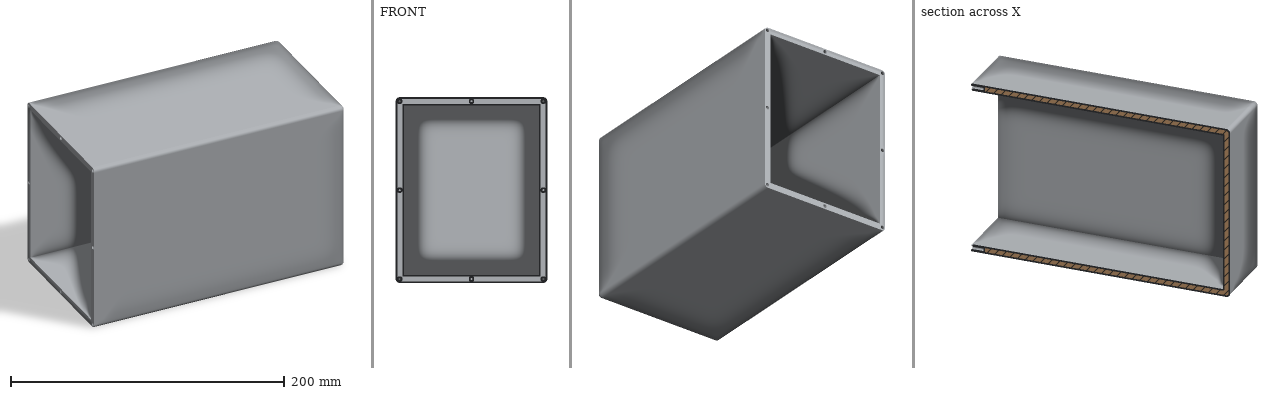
import cadquery as cq

width = 110.0
length = 205.0
height = 135.0
wall = 5.0
edge_radius = 3.0

hole_diameter = 2.9
hole_depth = 10.0
hole_inset = wall / 2

front_y = -length / 2


def rounded_block():
    """Solid block with every edge rounded except those of the front face."""
    block = cq.Workplane("XY").box(width, length, height)
    return block.edges("|Y or >Y").fillet(edge_radius)


def cavity():
    """Sharp-cornered space inside the walls, open through the front face."""
    return (
        cq.Workplane("XY")
        .box(width - 2 * wall, length - wall, height - 2 * wall)
        .translate((0, -wall / 2, 0))
    )


def rim_holes():
    """Blind holes at the four corners of the rim and at the middle of each side."""
    x_offset = width / 2 - hole_inset
    z_offset = height / 2 - hole_inset
    centers = [
        (x, z)
        for x in (-x_offset, 0, x_offset)
        for z in (-z_offset, 0, z_offset)
        if (x, z) != (0, 0)
    ]
    return (
        cq.Workplane("XZ", origin=(0, front_y, 0))
        .pushPoints(centers)
        .circle(hole_diameter / 2)
        .extrude(-hole_depth)
    )


result = rounded_block().cut(cavity()).cut(rim_holes())